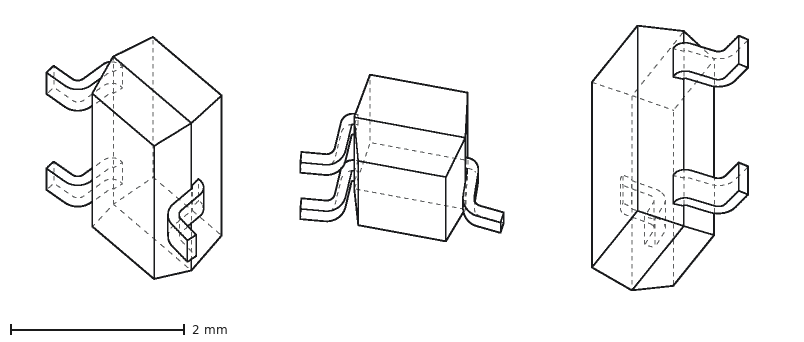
import cadquery as cq
import math

housing_width = 1.302
housing_height = 2.92
back_depth = 0.558
front_depth = 0.465
back_inset_x = 0.08
back_inset_z = 0.073
front_inset_x = 0.137
front_inset_z = 0.143

lead_span = 2.37
lead_thickness = 0.128
lead_width = 0.423
lead_spacing = 1.898
toe_drop = 0.565
shoulder_inner_radius = 0.015
heel_inner_radius = 0.095
foot_length = 0.283
shank_angle = 88.0
foot_angle = 5.5


def tapered_half(depth, inset_x, inset_z, direction):
    """Half of the housing, narrowing from the parting plane along Y."""
    return (
        cq.Workplane("XZ")
        .rect(housing_width, housing_height)
        .workplane(offset=-direction * depth)
        .rect(housing_width - 2 * inset_x, housing_height - 2 * inset_z)
        .loft(ruled=True)
    )


def make_housing():
    back = tapered_half(back_depth, back_inset_x, back_inset_z, 1)
    front = tapered_half(front_depth, front_inset_x, front_inset_z, -1)
    return back.union(front).solids()


def make_lead(z_center, housing):
    """Lead on the +X side, ending flush against the housing wall."""
    half_thickness = lead_thickness / 2
    arm_y = half_thickness
    shoulder_radius = shoulder_inner_radius + half_thickness
    heel_radius = heel_inner_radius + half_thickness
    shank = math.radians(shank_angle)
    foot = math.radians(foot_angle)

    def shoulder_offset(angle):
        return shoulder_radius * math.sin(angle), -shoulder_radius * (1 - math.cos(angle))

    def heel_offset(angle):
        run = heel_radius * (math.sin(shank) - math.sin(angle))
        drop = heel_radius * (math.cos(angle) - math.cos(shank))
        return run, -drop

    toe_x = lead_span / 2 - half_thickness * math.sin(foot)
    toe_y = -toe_drop + half_thickness * math.cos(foot)
    foot_start_x = toe_x - foot_length * math.cos(foot)
    foot_start_y = toe_y + foot_length * math.sin(foot)
    heel_run, heel_rise = heel_offset(foot)
    shank_end_x = foot_start_x - heel_run
    shank_end_y = foot_start_y - heel_rise
    heel_mid_run, heel_mid_rise = heel_offset((shank + foot) / 2)

    shoulder_run, shoulder_rise = shoulder_offset(shank)
    shank_start_y = arm_y + shoulder_rise
    shank_start_x = shank_end_x - (shank_start_y - shank_end_y) / math.tan(shank)
    arm_end_x = shank_start_x - shoulder_run
    shoulder_mid_run, shoulder_mid_rise = shoulder_offset(shank / 2)
    arm_start_x = housing_width / 2 - back_inset_x

    center_line = (
        cq.Workplane("XY", origin=(0, 0, z_center))
        .moveTo(arm_start_x, arm_y)
        .lineTo(arm_end_x, arm_y)
        .threePointArc(
            (arm_end_x + shoulder_mid_run, arm_y + shoulder_mid_rise),
            (shank_start_x, shank_start_y),
        )
        .lineTo(shank_end_x, shank_end_y)
        .threePointArc(
            (shank_end_x + heel_mid_run, shank_end_y + heel_mid_rise),
            (foot_start_x, foot_start_y),
        )
        .lineTo(toe_x, toe_y)
    )
    strip = (
        cq.Workplane("YZ", origin=(arm_start_x, arm_y, z_center))
        .rect(lead_thickness, lead_width)
        .sweep(center_line)
    )
    return strip.cut(housing).solids()


housing = make_housing()

leads = [make_lead(0, housing)]
for z_center in (-lead_spacing / 2, lead_spacing / 2):
    leads.append(make_lead(z_center, housing).mirror("YZ"))

result = cq.Compound.makeCompound([housing.val(), *[lead.val() for lead in leads]])